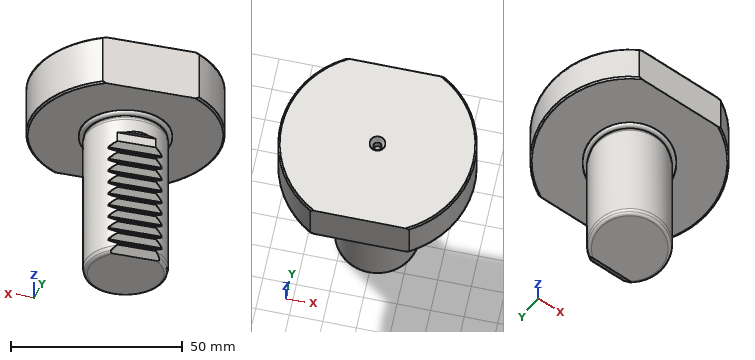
import cadquery as cq
import math

total_height = 64.0
head_height = 16.0
head_radius = 29.0
across_flats = 50.0
head_chamfer = 0.5
shank_radius = 12.5
head_bottom = total_height - head_height

neck_radius = 12.2
neck_length = 1.6
neck_end_depth = 2.5

tip_taper_height = 1.9
tip_taper_angle = math.radians(15)
tip_round = 1.0

flat_y = 11.0
flat_top = head_bottom - 7.0
shoulder_chamfer = 0.45
tooth_pitch = 4.0
groove_count = 9
first_groove_z = 36.3
groove_root_y = 9.4
groove_root_width = 0.4
bevel_height = 2.0

hole_mouth_radius = 2.3
pilot_radius = 1.2
pilot_length = 2.55
countersink_half_angle = math.radians(30)
drill_half_angle = math.radians(59)

ring_outer_radius = 13.7
ring_section_radius = 0.9
ring_centre_radius = ring_outer_radius - ring_section_radius
ring_z = head_bottom - 0.45


def make_head():
    blank = cq.Workplane("XY").workplane(offset=head_bottom).circle(head_radius).extrude(head_height)
    blank = blank.edges().chamfer(head_chamfer)
    slab = cq.Workplane("XY").box(2 * head_radius, across_flats, 2 * total_height)
    return blank.intersect(slab)


def make_shank():
    round_top = tip_round * (1 - math.sin(tip_taper_angle))
    taper_end_radius = shank_radius - (tip_taper_height - round_top) * math.tan(tip_taper_angle)
    end_face_radius = taper_end_radius - tip_round * math.cos(tip_taper_angle)
    arc_angle = (math.pi / 2 + tip_taper_angle) / 2
    arc_middle = (
        end_face_radius + tip_round * math.cos(arc_angle),
        tip_round * (1 - math.sin(arc_angle)),
    )
    profile = (
        cq.Workplane("XZ")
        .moveTo(0, 0)
        .lineTo(end_face_radius, 0)
        .threePointArc(arc_middle, (taper_end_radius, round_top))
        .lineTo(shank_radius, tip_taper_height)
        .lineTo(shank_radius, head_bottom - neck_end_depth)
        .lineTo(neck_radius, head_bottom - neck_length)
        .lineTo(neck_radius, head_bottom)
        .lineTo(0, head_bottom)
        .close()
    )
    return profile.revolve(360, (0, 0, 0), (0, 1, 0))


def cut_across(points):
    """Prism running along X through the whole shank, from (Y, Z) points."""
    return cq.Workplane("YZ").polyline(points).close().extrude(shank_radius, both=True)


def make_flat_cut():
    return cut_across([
        (flat_y, 0),
        (flat_y, flat_top),
        (shank_radius - shoulder_chamfer, flat_top),
        (shank_radius, flat_top + shoulder_chamfer),
        (shank_radius, 0),
    ])


def make_groove(root_z):
    half_root = groove_root_width / 2
    half_mouth = half_root + flat_y - groove_root_y
    return cut_across([
        (flat_y, root_z - half_mouth),
        (groove_root_y, root_z - half_root),
        (groove_root_y, root_z + half_root),
        (flat_y, root_z + half_mouth),
    ])


def make_tip_bevel():
    return cut_across([(flat_y, bevel_height), (flat_y - bevel_height, 0), (flat_y, 0)])


def make_centre_hole():
    countersink_depth = (hole_mouth_radius - pilot_radius) / math.tan(countersink_half_angle)
    countersink_z = total_height - countersink_depth
    pilot_z = countersink_z - pilot_length
    point_z = pilot_z - pilot_radius / math.tan(drill_half_angle)
    profile = cq.Workplane("XZ").polyline([
        (0, total_height),
        (hole_mouth_radius, total_height),
        (pilot_radius, countersink_z),
        (pilot_radius, pilot_z),
        (0, point_z),
    ]).close()
    return profile.revolve(360, (0, 0, 0), (0, 1, 0))


def make_sealing_ring():
    section = cq.Workplane("XZ").center(ring_centre_radius, ring_z).circle(ring_section_radius)
    return section.revolve(360, (-ring_centre_radius, 0, 0), (-ring_centre_radius, 1, 0))


def make_bolt(seat):
    body = make_head().union(make_shank())
    body = body.cut(make_flat_cut())
    for index in range(groove_count):
        body = body.cut(make_groove(first_groove_z - index * tooth_pitch))
    body = body.cut(make_tip_bevel())
    body = body.cut(make_centre_hole())
    return body.cut(seat)


sealing_ring = make_sealing_ring()
bolt = make_bolt(sealing_ring)

result = cq.Compound.makeCompound([*bolt.vals(), sealing_ring.val()])